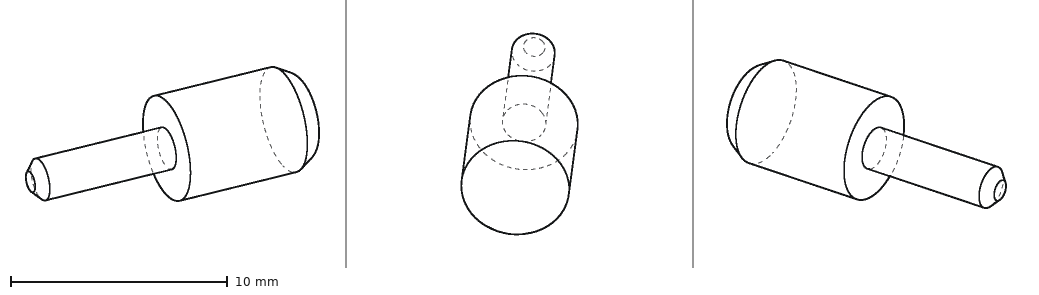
import cadquery as cq
import math

total_length = 14.0
head_length = 7.0
head_diameter = 5.0
taper_length = 1.0
taper_angle = 30.0
nose_radius = 0.6
pin_diameter = 2.0
tip_chamfer = 0.5

pin_length = total_length - head_length
joint_y = 0.0
head_end_y = joint_y + head_length
tip_y = joint_y - pin_length


def make_head():
    """Cylinder with a tapered end whose nose blends tangentially into the flat end."""
    angle = math.radians(taper_angle)
    head_radius = head_diameter / 2
    taper_start_y = head_end_y - taper_length

    arc_start_y = head_end_y - nose_radius * (1 - math.sin(angle))
    arc_start_radius = head_radius - (arc_start_y - taper_start_y) * math.tan(angle)
    arc_center_radius = arc_start_radius - nose_radius * math.cos(angle)
    arc_center_y = head_end_y - nose_radius
    middle_angle = (angle + math.pi / 2) / 2
    arc_middle = (
        arc_center_radius + nose_radius * math.cos(middle_angle),
        arc_center_y + nose_radius * math.sin(middle_angle),
    )

    return (
        cq.Workplane("XY")
        .moveTo(0, joint_y)
        .lineTo(head_radius, joint_y)
        .lineTo(head_radius, taper_start_y)
        .lineTo(arc_start_radius, arc_start_y)
        .threePointArc(arc_middle, (arc_center_radius, head_end_y))
        .lineTo(0, head_end_y)
        .close()
        .revolve(360, (0, 0, 0), (0, 1, 0))
    )


def make_pin():
    """Slender cylinder with a chamfered free tip."""
    pin_radius = pin_diameter / 2
    return (
        cq.Workplane("XY")
        .moveTo(0, joint_y)
        .lineTo(pin_radius, joint_y)
        .lineTo(pin_radius, tip_y + tip_chamfer)
        .lineTo(pin_radius - tip_chamfer, tip_y)
        .lineTo(0, tip_y)
        .close()
        .revolve(360, (0, 0, 0), (0, 1, 0))
    )


head = make_head()
pin = make_pin()

result = cq.Compound.makeCompound([head.val(), pin.val()])